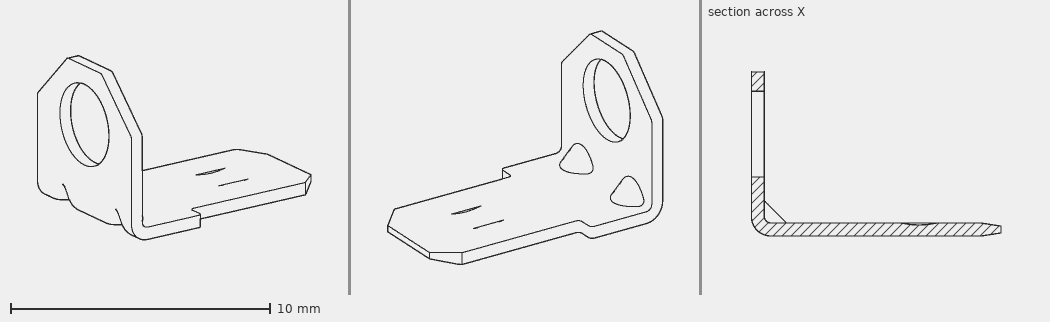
import cadquery as cq
import math

thickness = 0.508
width = 6.35
length = 9.65
height = 6.35
inner_bend_radius = 0.254
outer_bend_radius = inner_bend_radius + thickness

blade_width = 4.75
shoulder_y = 3.32
shoulder_radius = 0.17
blade_corner_chamfer = 0.9
tip_taper_length = 0.77
tip_thickness = 0.27

upright_corner_chamfer = 2.03
upright_corner_radius = 0.17
hole_diameter = 3.3
hole_z = 3.94

detent_width = 1.55
detent_length = 1.37
detent_depth = 0.075
detent_y = 6.475

bead_spacing = 3.56
bead_reach = 1.36
dent_radius = 0.508
bead_radius = dent_radius + thickness
dent_edge_radius = 0.508

half_width = width / 2
half_blade = blade_width / 2
bead_axis_offset = (thickness + bead_reach) / 2 - bead_radius / math.sqrt(2)


def bent_sheet():
    """L-shaped strip with concentric inner and outer bend radii."""
    sheet = (
        cq.Workplane("YZ")
        .polyline([(0, 0), (length, 0), (length, thickness), (thickness, thickness),
                   (thickness, height), (0, height)])
        .close()
        .extrude(half_width, both=True)
    )
    sheet = sheet.edges(cq.selectors.NearestToPointSelector((0, 0, 0))).fillet(outer_bend_radius)
    inner_corner = cq.selectors.NearestToPointSelector((0, thickness, thickness))
    return sheet.edges(inner_corner).fillet(inner_bend_radius)


def blade_outline():
    """Plan shape of the horizontal leg, extruded through the full height."""
    half_tip = half_blade - blade_corner_chamfer
    chamfer_y = length - blade_corner_chamfer
    right_side = [(half_width, 0), (half_width, shoulder_y), (half_blade, shoulder_y),
                  (half_blade, chamfer_y), (half_tip, length)]
    left_side = [(-x, y) for x, y in reversed(right_side)]
    plan = cq.Workplane("XY").polyline(right_side + left_side).close().extrude(height)
    for x in (half_width, half_blade):
        for side in (-1, 1):
            corner = cq.selectors.NearestToPointSelector((side * x, shoulder_y, height / 2))
            plan = plan.edges(corner).fillet(shoulder_radius)
    return plan


def upright_outline():
    """Front shape of the upright leg, extruded through the full length."""
    half_top = half_width - upright_corner_chamfer
    chamfer_z = height - upright_corner_chamfer
    right_side = [(half_width, 0), (half_width, chamfer_z), (half_top, height)]
    left_side = [(-x, z) for x, z in reversed(right_side)]
    front = cq.Workplane("XZ").polyline(right_side + left_side).close().extrude(-length)
    for x, z in right_side[1:]:
        for side in (-1, 1):
            corner = cq.selectors.NearestToPointSelector((side * x, length / 2, z))
            front = front.edges(corner).fillet(upright_corner_radius)
    return front


def sloped_cylinder(x, radius):
    """Cylinder sloping at 45 degrees across the bend, on the shared axis of bead and dent."""
    axis_middle = cq.Vector(x, bead_axis_offset, bead_axis_offset)
    slope = cq.Vector(0, 1, -1).normalized()
    start = axis_middle - slope * length
    return cq.Workplane(cq.Solid.makeCylinder(radius, 2 * length, start, slope))


def add_bead(part, x):
    """Raise a bead inside the bend and press the matching dent into the outside."""
    mid_sheet = thickness / 2
    inside_bend = (
        cq.Workplane("XY", origin=(0, mid_sheet, mid_sheet))
        .box(width, length, height, centered=(True, False, False))
    )
    part = part.union(sloped_cylinder(x, bead_radius).intersect(inside_bend))
    return part.cut(sloped_cylinder(x, dent_radius))


def round_dent_rim(part, x):
    """Round the rim where a dent meets the outside of the sheet."""
    crest = bead_axis_offset + dent_radius / math.sqrt(2)
    dent_face = cq.selectors.NearestToPointSelector((x, crest, crest))
    return part.faces(dent_face).edges().fillet(dent_edge_radius)


def taper_tip(part):
    """Thin the free end of the blade evenly from both faces."""
    drop = (thickness - tip_thickness) / 2
    taper_y = length - tip_taper_length
    for face_z, tip_z in ((0, drop), (thickness, thickness - drop)):
        wedge = (
            cq.Workplane("YZ")
            .polyline([(taper_y, face_z), (length, face_z), (length, tip_z)])
            .close()
            .extrude(half_width, both=True)
        )
        part = part.cut(wedge)
    return part


def cut_detent(part):
    """Shallow cylindrical trough in the top of the blade, axis along X."""
    trough_radius = (detent_length ** 2 / 4 + detent_depth ** 2) / (2 * detent_depth)
    axis_z = thickness - detent_depth + trough_radius
    trough = (
        cq.Workplane("YZ")
        .center(detent_y, axis_z)
        .circle(trough_radius)
        .extrude(detent_width / 2, both=True)
    )
    return part.cut(trough)


def cut_hole(part):
    """Round hole through the upright leg."""
    hole = (
        cq.Workplane("XZ")
        .center(0, hole_z)
        .circle(hole_diameter / 2)
        .extrude(-thickness)
    )
    return part.cut(hole)


result = bent_sheet().intersect(blade_outline()).intersect(upright_outline())
for side in (-1, 1):
    bead_x = side * bead_spacing / 2
    result = add_bead(result, bead_x)
    result = round_dent_rim(result, bead_x)
result = taper_tip(result)
result = cut_detent(result)
result = cut_hole(result)